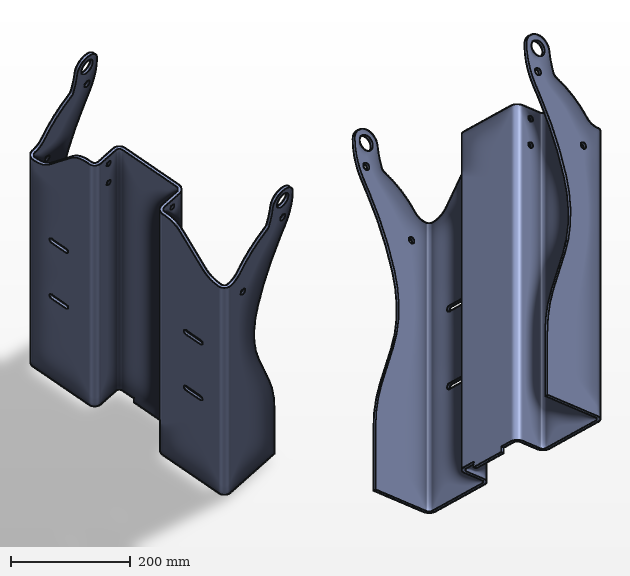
import cadquery as cq
import math

width = 440.0
depth = 172.0
height = 690.0
half_width = width / 2

sheet = 6.0
bend_outer = 14.0
bend_inner = bend_outer - sheet
flat_half_width = half_width - bend_outer

channel_half_inner = 67.5
channel_half_outer = channel_half_inner + sheet
channel_depth = 65.5

tab_width = 70.5
tab_height = 10.5

front_top = 651.5
slope_upper_x = 107.5
slope_lower_x = 184.0
slope_blend = 45.0

slot_length = 41.5
slot_height = 11.0
slot_x = 149.0
slot_heights = (230.5, 379.0)

channel_hole = 10.5
channel_hole_y = 34.0
channel_hole_heights = (582.0, 632.0)

ear_radius = 25.5
ear_y = depth - ear_radius
ear_z = height - ear_radius

side_holes = (
    (29.0, ear_y, ear_z),
    (13.0, ear_y, 619.5),
    (12.0, 45.5, 515.5),
)

wall_depth = 125.5
waist_y = 74.0
neck_radius = 140.0
neck_lean = 31
back_radius = 538.0
back_lean = 16
waist_radius = 250.0
hip_lean = 18
hip_radius = 290.0

throat_radius = 171.0
throat_lean = 7
crook_start_lean = 20
crook_radius = 12.5
crook_end_lean = 66.8
brow_radius = 176.5
brow_lean = 39.2
foot_radius = 30.5
level_lean = 90


def arc_travel(radius, lean_from, lean_to):
    """Forward and downward travel of a descending arc that turns from one lean to another."""
    start = math.radians(lean_from)
    end = math.radians(lean_to)
    signed_radius = math.copysign(radius, lean_to - lean_from)
    forward = signed_radius * (math.cos(start) - math.cos(end))
    down = signed_radius * (math.sin(end) - math.sin(start))
    return forward, down


def total_travel(arcs):
    """Forward and downward travel of a whole run of arcs."""
    travels = [arc_travel(*arc) for arc in arcs]
    return sum(forward for forward, _ in travels), sum(down for _, down in travels)


def descend_arcs(path, arcs):
    """Continue an outline downward through a run of tangent arcs."""
    for arc in arcs:
        forward, down = arc_travel(*arc)
        path = path.tangentArcPoint((-forward, -down))
    return path


def ascend_arcs(path, arcs):
    """Continue an outline upward through the same kind of run, last arc first."""
    for arc in reversed(arcs):
        path = path.tangentArcPoint(arc_travel(*arc))
    return path


def descend_line(path, forward, lean):
    """Continue an outline downward along a straight stretch with a fixed lean."""
    return path.line(-forward, -forward / math.tan(math.radians(lean)))


neck_arcs = [(neck_radius, 0, neck_lean)]
waist_arcs = [
    (back_radius, neck_lean, back_lean),
    (waist_radius, back_lean, -hip_lean),
]
hip_arcs = [(hip_radius, -hip_lean, 0)]
top_arcs = [
    (throat_radius, throat_lean, crook_start_lean),
    (crook_radius, crook_start_lean, crook_end_lean),
    (brow_radius, crook_end_lean, brow_lean),
    (foot_radius, brow_lean, level_lean),
]

throat_y = ear_y - ear_radius * math.cos(math.radians(throat_lean))
throat_z = ear_z + ear_radius * math.sin(math.radians(throat_lean))
top_forward, top_down = total_travel(top_arcs)
shoulder_y = throat_y - top_forward
shoulder_top = throat_z - top_down


def bent_sheet():
    """Full-height sheet folded into side walls, front plates and central channel."""
    right_half = (
        cq.Workplane("XY")
        .moveTo(0, channel_depth)
        .lineTo(channel_half_outer - bend_outer, channel_depth)
        .tangentArcPoint((bend_outer, -bend_outer))
        .lineTo(channel_half_outer, bend_outer)
        .tangentArcPoint((bend_inner, -bend_inner))
        .lineTo(flat_half_width, sheet)
        .tangentArcPoint((bend_inner, bend_inner))
        .lineTo(half_width - sheet, depth)
        .lineTo(half_width, depth)
        .lineTo(half_width, bend_outer)
        .tangentArcPoint((-bend_outer, -bend_outer))
        .lineTo(channel_half_inner + bend_outer, 0)
        .tangentArcPoint((-bend_outer, bend_outer))
        .lineTo(channel_half_inner, channel_depth - bend_outer)
        .tangentArcPoint((-bend_inner, bend_inner))
        .lineTo(0, channel_depth - sheet)
        .close()
        .extrude(height)
    )
    return right_half.union(right_half.mirror("YZ"))


def middle_block():
    """Block between the two outer bends, where the front plates are flat."""
    return cq.Workplane("XY").box(2 * flat_half_width, depth, height, centered=(True, False, False))


def front_outline():
    """Block that keeps the front plates and channel, with the sloped shoulders and the tab."""
    shoulders = (
        cq.Workplane("XZ", origin=(0, depth, 0))
        .moveTo(-half_width, tab_height)
        .lineTo(-half_width, shoulder_top)
        .lineTo(-slope_lower_x, shoulder_top)
        .lineTo(-slope_upper_x, front_top)
        .lineTo(slope_upper_x, front_top)
        .lineTo(slope_lower_x, shoulder_top)
        .lineTo(half_width, shoulder_top)
        .lineTo(half_width, tab_height)
        .close()
        .extrude(depth)
    )
    for side in (-1, 1):
        for x, z in ((slope_lower_x, shoulder_top), (slope_upper_x, front_top)):
            corner = cq.selectors.NearestToPointSelector((side * x, depth / 2, z))
            shoulders = shoulders.edges("|Y").edges(corner).fillet(slope_blend)
    tab = cq.Workplane("XY").box(tab_width, depth, tab_height, centered=(True, False, False))
    return shoulders.union(tab)


def side_outline():
    """Block with the side wall shape: ear, waisted rear edge and sloping top edge."""
    waist_upper_arc = (waist_radius, back_lean, 0)
    back_to_waist, _ = total_travel(neck_arcs + waist_arcs[:1] + [waist_upper_arc])
    neck_straight = depth - waist_y - back_to_waist
    waist_to_hip, _ = total_travel([(waist_radius, 0, -hip_lean)] + hip_arcs)
    hip_straight = waist_y - wall_depth - waist_to_hip

    path = cq.Workplane("YZ", origin=(-half_width, 0, 0)).moveTo(throat_y, throat_z)
    path = path.threePointArc((ear_y, height), (depth, ear_z))
    path = descend_arcs(path, neck_arcs)
    path = descend_line(path, neck_straight, neck_lean)
    path = descend_arcs(path, waist_arcs)
    path = descend_line(path, hip_straight, -hip_lean)
    path = descend_arcs(path, hip_arcs)
    path = path.lineTo(wall_depth, tab_height).lineTo(0, tab_height)
    path = path.lineTo(0, shoulder_top).lineTo(shoulder_y, shoulder_top)
    path = ascend_arcs(path, top_arcs)
    return path.close().extrude(width)


def cross_hole(diameter, y, z):
    """Cylinder along X through the whole width."""
    start = cq.Workplane("YZ", origin=(-half_width, 0, 0))
    return start.center(y, z).circle(diameter / 2).extrude(width)


def side_walls(folded):
    """Both side walls with their bends, trimmed and drilled."""
    walls = folded.cut(middle_block()).intersect(side_outline())
    for diameter, y, z in side_holes:
        walls = walls.cut(cross_hole(diameter, y, z))
    return walls


def front_panel(folded):
    """Front plates and channel, trimmed, slotted and drilled."""
    panel = folded.intersect(middle_block()).intersect(front_outline())
    slot_centres = [(side * slot_x, z) for side in (-1, 1) for z in slot_heights]
    slots = (
        cq.Workplane("XZ", origin=(0, sheet, 0))
        .pushPoints(slot_centres)
        .slot2D(slot_length, slot_height)
        .extrude(sheet)
    )
    panel = panel.cut(slots)
    for z in channel_hole_heights:
        panel = panel.cut(cross_hole(channel_hole, channel_hole_y, z))
    return panel


folded_sheet = bent_sheet()
result = front_panel(folded_sheet).union(side_walls(folded_sheet)).clean()